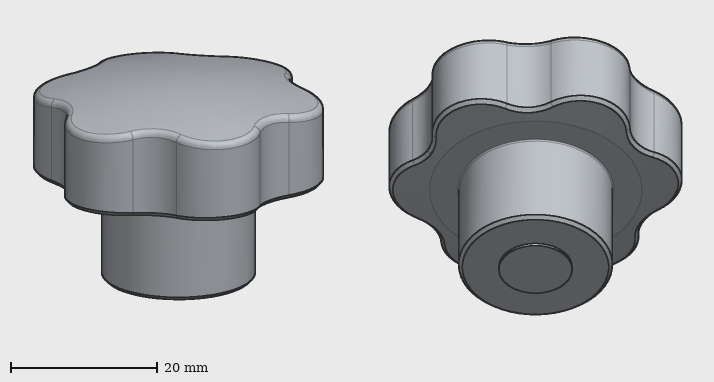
import cadquery as cq
import math

LOBE_COUNT = 6
LOBE_PITCH_RADIUS = 13.0
LOBE_RADIUS = 7.0
RECESS_RADIUS = 6.0
HEAD_RADIUS = LOBE_PITCH_RADIUS + LOBE_RADIUS
HEAD_HEIGHT = 14.1
DOME_RADIUS = 85.0
TOP_EDGE_FILLET = 1.0

FLAT_RADIUS = 14.5
CONE_ANGLE = 6.5
BOTTOM_EDGE_CHAMFER = 0.5

HUB_DIAMETER = 21.0
HUB_LENGTH = 13.9
HUB_CHAMFER = 0.5
HUB_ROOT_FILLET = 0.2
BUSH_DIAMETER = 10.0
BUSH_PROTRUSION = 0.4

HUB_BOTTOM = BUSH_PROTRUSION
HEAD_BOTTOM = HUB_BOTTOM + HUB_LENGTH
HEAD_TOP = HEAD_BOTTOM + HEAD_HEIGHT

MARGIN = 1.0
RIM_TOLERANCE = 0.05


def polar(radius, angle):
    """Point in the XY plane at a radius and an angle in radians."""
    return (radius * math.cos(angle), radius * math.sin(angle))


def lobed_outline():
    """Closed outline of tangent arcs, starting where the first lobe begins."""
    half_pitch = math.pi / LOBE_COUNT
    lobe_offset = LOBE_PITCH_RADIUS * math.sin(half_pitch)
    centre_gap = LOBE_RADIUS + RECESS_RADIUS
    recess_pitch_radius = (LOBE_PITCH_RADIUS * math.cos(half_pitch)
                           + math.sqrt(centre_gap**2 - lobe_offset**2))
    recess_bottom_radius = recess_pitch_radius - RECESS_RADIUS

    recess_x, recess_y = polar(recess_pitch_radius, half_pitch)
    share = LOBE_RADIUS / centre_gap
    tangent_x = LOBE_PITCH_RADIUS + share * (recess_x - LOBE_PITCH_RADIUS)
    tangent_y = share * recess_y
    tangent_radius = math.hypot(tangent_x, tangent_y)
    tangent_angle = math.atan2(tangent_y, tangent_x)

    outline = cq.Workplane("XY").moveTo(*polar(tangent_radius, -tangent_angle))
    for index in range(LOBE_COUNT):
        lobe_angle = 2 * half_pitch * index
        recess_angle = lobe_angle + half_pitch
        next_lobe_angle = recess_angle + half_pitch
        outline = outline.threePointArc(
            polar(HEAD_RADIUS, lobe_angle),
            polar(tangent_radius, lobe_angle + tangent_angle),
        )
        outline = outline.threePointArc(
            polar(recess_bottom_radius, recess_angle),
            polar(tangent_radius, next_lobe_angle - tangent_angle),
        )
    return outline.close()


def head_envelope():
    """Turned body with the domed top and the flat-and-cone underside."""
    outer_radius = HEAD_RADIUS + MARGIN
    cone_rise = (outer_radius - FLAT_RADIUS) * math.tan(math.radians(CONE_ANGLE))

    def dome_height(radius):
        return HEAD_TOP - DOME_RADIUS + math.sqrt(DOME_RADIUS**2 - radius**2)

    return (
        cq.Workplane("YZ")
        .moveTo(0, HEAD_BOTTOM)
        .lineTo(FLAT_RADIUS, HEAD_BOTTOM)
        .lineTo(outer_radius, HEAD_BOTTOM + cone_rise)
        .lineTo(outer_radius, dome_height(outer_radius))
        .threePointArc((outer_radius / 2, dome_height(outer_radius / 2)), (0, HEAD_TOP))
        .close()
        .revolve(360, (0, 0, 0), (0, 1, 0))
    )


def between_levels(low, high):
    """Selector for everything whose centre lies between two Z levels."""
    reach = HEAD_RADIUS + MARGIN
    return cq.selectors.BoxSelector((-reach, -reach, low), (reach, reach, high))


def make_head():
    """Lobed prism trimmed by the turned envelope, with both rims broken."""
    head = lobed_outline().extrude(HEAD_TOP + MARGIN).intersect(head_envelope())
    top_rim = head.edges(between_levels((HEAD_BOTTOM + HEAD_TOP) / 2, HEAD_TOP))
    head = top_rim.fillet(TOP_EDGE_FILLET)
    bottom_rim = head.edges(between_levels(HEAD_BOTTOM + RIM_TOLERANCE, HEAD_BOTTOM + MARGIN))
    return bottom_rim.chamfer(BOTTOM_EDGE_CHAMFER)


def make_hub():
    """Cylindrical hub, chamfered at its lower rim, with the bush below it."""
    hub = (
        cq.Workplane("XY", origin=(0, 0, HUB_BOTTOM))
        .circle(HUB_DIAMETER / 2)
        .extrude(HUB_LENGTH)
        .faces("<Z")
        .chamfer(HUB_CHAMFER)
    )
    bush = cq.Workplane("XY").circle(BUSH_DIAMETER / 2).extrude(BUSH_PROTRUSION)
    return hub.union(bush)


def fillet_hub_root(knob):
    """Round the inner corner where the hub meets the flat of the head."""
    reach = HUB_DIAMETER / 2 + MARGIN
    root = cq.selectors.BoxSelector(
        (-reach, -reach, HEAD_BOTTOM - RIM_TOLERANCE),
        (reach, reach, HEAD_BOTTOM + RIM_TOLERANCE),
        boundingbox=True,
    )
    return knob.edges(root).fillet(HUB_ROOT_FILLET)


result = fillet_hub_root(make_head().union(make_hub()))